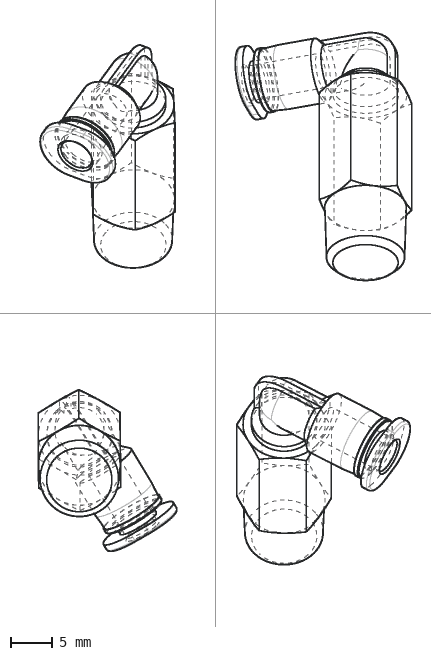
import cadquery as cq
import math

total_height = 33.2
body_radius = 4.0
pipe_radius = 3.0
elbow_z = total_height - body_radius
cone_length = body_radius - pipe_radius

thread_tip_radius = 4.0
thread_small_radius = 4.78
thread_large_radius = 4.98
thread_chamfer_height = 0.8

hex_bottom = 8.0
hex_top = 24.45
hex_flats = 10.0
hex_corners = hex_flats / math.cos(math.pi / 6)
hex_chamfer_angle = math.radians(30)
hex_chamfer_drop = (hex_corners - hex_flats) / 2 * math.tan(hex_chamfer_angle)

collar_height = 1.0
collar_top = hex_top + collar_height

cone_start = 4.75
barrel_start = cone_start + cone_length
barrel_end = 10.55
lip_start = 12.48
lip_end = 13.15
lip_chamfer = 0.13
taper_end_radius = 3.85
neck_radius = 2.6

flange_back = 14.1
reach = 15.17
flange_arc_offset = 1.0
flange_fillet = 0.3
bore_radius = 2.12
bore_chamfer = 0.25
bore_end = barrel_start

rib_thickness = 1.0


def make_stem():
    """Thread, collar and vertical pipe, revolved about Z."""
    points = [
        (0, 0),
        (thread_tip_radius, 0),
        (thread_small_radius, thread_chamfer_height),
        (thread_large_radius, hex_bottom),
        (body_radius, hex_bottom),
        (body_radius, collar_top),
        (pipe_radius, collar_top + cone_length),
        (pipe_radius, elbow_z),
        (0, elbow_z),
    ]
    return cq.Workplane("XZ").polyline(points).close().revolve(360, (0, 0), (0, 1))


def make_hexagon():
    """Hexagon with corners turned down to the across-flats circle at both ends."""
    height = hex_top - hex_bottom
    prism = cq.Workplane("XY").workplane(offset=hex_bottom).polygon(6, hex_corners).extrude(height)
    points = [
        (0, hex_bottom),
        (hex_flats / 2, hex_bottom),
        (hex_corners / 2, hex_bottom + hex_chamfer_drop),
        (hex_corners / 2, hex_top - hex_chamfer_drop),
        (hex_flats / 2, hex_top),
        (0, hex_top),
    ]
    envelope = cq.Workplane("XZ").polyline(points).close().revolve(360, (0, 0), (0, 1))
    return prism.intersect(envelope)


def make_socket():
    """Horizontal pipe, barrel, lip and neck, revolved about the socket axis."""
    points = [
        (0, 0),
        (pipe_radius, 0),
        (pipe_radius, cone_start),
        (body_radius, barrel_start),
        (body_radius, barrel_end),
        (taper_end_radius, lip_start),
        (body_radius, lip_start),
        (body_radius, lip_end - lip_chamfer),
        (body_radius - lip_chamfer, lip_end),
        (neck_radius, lip_end),
        (neck_radius, flange_back),
        (0, flange_back),
    ]
    profile = cq.Workplane("XY").polyline([(r, -d) for r, d in points]).close()
    return profile.revolve(360, (0, 0), (0, 1)).translate((0, 0, elbow_z))


def make_flange():
    """Oblong release flange with a rounded outer edge."""
    plane = cq.Workplane("XZ", origin=(0, -flange_back, elbow_z))
    length = 2 * (flange_arc_offset + body_radius)
    flange = plane.slot2D(length, 2 * body_radius).extrude(reach - flange_back)
    return flange.faces("<Y").edges().fillet(flange_fillet)


def make_bore():
    """Blind tube bore with a chamfered mouth."""
    points = [
        (0, bore_end),
        (bore_radius, bore_end),
        (bore_radius, reach - bore_chamfer),
        (bore_radius + bore_chamfer, reach),
        (0, reach),
    ]
    profile = cq.Workplane("XY").polyline([(r, -d) for r, d in points]).close()
    return profile.revolve(360, (0, 0), (0, 1)).translate((0, 0, elbow_z))


def make_rib():
    """Flat rib from the collar round the elbow to the barrel."""
    bend = body_radius * math.sqrt(0.5)
    return (
        cq.Workplane("YZ")
        .moveTo(0, collar_top)
        .lineTo(body_radius, collar_top)
        .lineTo(body_radius, elbow_z)
        .threePointArc((bend, elbow_z + bend), (0, total_height))
        .lineTo(-barrel_start, total_height)
        .lineTo(-barrel_start, elbow_z)
        .lineTo(0, elbow_z)
        .close()
        .extrude(rib_thickness / 2, both=True)
    )


elbow_ball = cq.Workplane("XY").sphere(pipe_radius).translate((0, 0, elbow_z))

result = (
    make_stem()
    .union(make_hexagon())
    .union(elbow_ball)
    .union(make_socket())
    .union(make_flange())
    .union(make_rib())
    .cut(make_bore())
)